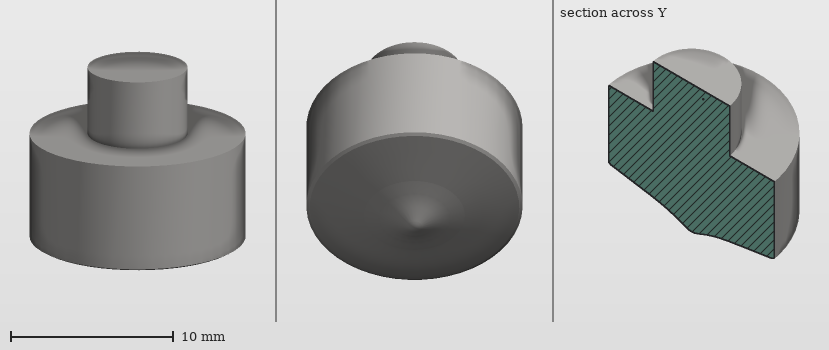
import cadquery as cq
import math

total_height = 12.77
pin_diameter = 6.15
pin_height = 4.28
body_diameter = 13.3
body_height = 6.65
bevel_width = 0.2
bevel_height = 0.12
tip_radius = 1.0
cone_slope = math.radians(11.2)
blend_radius = 9.5

pin_radius = pin_diameter / 2
body_radius = body_diameter / 2
shoulder_z = total_height - pin_height
wall_bottom_z = shoulder_z - body_height
cone_rim_radius = body_radius - bevel_width
cone_rim_z = wall_bottom_z - bevel_height


def arc_point(center, radius, slope):
    """Point on a circle where its tangent has the given slope; a negative radius takes the upper side."""
    center_r, center_z = center
    return center_r + radius * math.sin(slope), center_z - radius * math.cos(slope)


def nose_profile():
    """Tangent points and mid points of the nose, from the tip outwards."""
    tip_center = (0, tip_radius)

    cone_axis_z = cone_rim_z - cone_rim_radius * math.tan(cone_slope)
    tip_above_cone = (tip_radius - cone_axis_z) * math.cos(cone_slope)
    center_offset = tip_above_cone + blend_radius
    contact_slope = cone_slope + math.acos(center_offset / (tip_radius + blend_radius))
    blend_center = arc_point(tip_center, tip_radius + blend_radius, contact_slope)

    tip_mid = arc_point(tip_center, tip_radius, contact_slope / 2)
    tip_end = arc_point(tip_center, tip_radius, contact_slope)
    blend_mid = arc_point(blend_center, -blend_radius, (contact_slope + cone_slope) / 2)
    blend_end = arc_point(blend_center, -blend_radius, cone_slope)
    return tip_mid, tip_end, blend_mid, blend_end


def turned_part():
    """Half profile in the XZ plane, revolved about the Z axis."""
    tip_mid, tip_end, blend_mid, blend_end = nose_profile()
    profile = (
        cq.Workplane("XZ")
        .moveTo(0, 0)
        .threePointArc(tip_mid, tip_end)
        .threePointArc(blend_mid, blend_end)
        .lineTo(cone_rim_radius, cone_rim_z)
        .lineTo(body_radius, wall_bottom_z)
        .lineTo(body_radius, shoulder_z)
        .lineTo(pin_radius, shoulder_z)
        .lineTo(pin_radius, total_height)
        .lineTo(0, total_height)
        .close()
    )
    return profile.revolve(360, (0, 0, 0), (0, 1, 0))


result = turned_part()